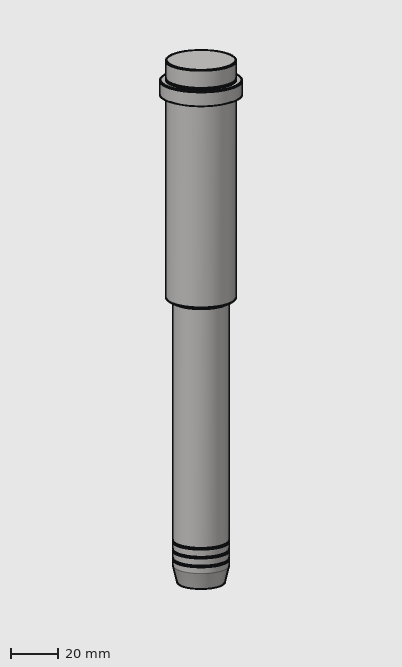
import cadquery as cq

length = 230.0

body_radius = 15.0
body_bottom = 125.0
body_bottom_chamfer = 0.7
body_top_chamfer = 0.5

collar_radius = 17.5
collar_bottom = 214.8
collar_top = 221.3
collar_chamfer = 0.5

pin_radius = 12.0
neck_radius = 11.5
neck_length = 1.2

tip_radius = 10.1
tip_length = 7.5
tip_chamfer = 0.2

groove_width = 1.0
groove_depth = 0.2
lubrication_groove_count = 3
lubrication_groove_first = 10.1
lubrication_groove_pitch = 4.0


def cylinder(radius, bottom, top):
    return cq.Workplane("XY").workplane(offset=bottom).circle(radius).extrude(top - bottom)


def v_groove(radius, bottom):
    """Ring whose pointed inner side cuts a groove into a shaft of the given radius."""
    top = bottom + groove_width
    middle = bottom + groove_width / 2
    return (
        cq.Workplane("XZ")
        .moveTo(radius, bottom)
        .lineTo(radius - groove_depth, middle)
        .lineTo(radius, top)
        .lineTo(radius + groove_depth, top)
        .lineTo(radius + groove_depth, bottom)
        .close()
        .revolve(360, (0, 0, 0), (0, 1, 0))
    )


def make_pin():
    shaft_top = body_bottom - neck_length
    pin = (
        cq.Workplane("XY").circle(tip_radius)
        .workplane(offset=tip_length).circle(pin_radius)
        .loft(ruled=True)
        .faces("<Z").edges().chamfer(tip_chamfer)
        .union(cylinder(pin_radius, tip_length, shaft_top))
    )
    for index in range(lubrication_groove_count):
        bottom = lubrication_groove_first + index * lubrication_groove_pitch
        pin = pin.cut(v_groove(pin_radius, bottom))
    return pin.union(cylinder(neck_radius, shaft_top, body_bottom))


def make_body():
    body = cylinder(body_radius, body_bottom, length)
    body = body.faces("<Z").edges().chamfer(body_bottom_chamfer)
    body = body.faces(">Z").edges().chamfer(body_top_chamfer)
    for bottom in (collar_bottom - groove_width, collar_top):
        body = body.cut(v_groove(body_radius, bottom))
    return body


def make_collar():
    collar = cylinder(collar_radius, collar_bottom, collar_top)
    return collar.faces(">Z").edges().chamfer(collar_chamfer)


result = make_pin().union(make_body()).union(make_collar())